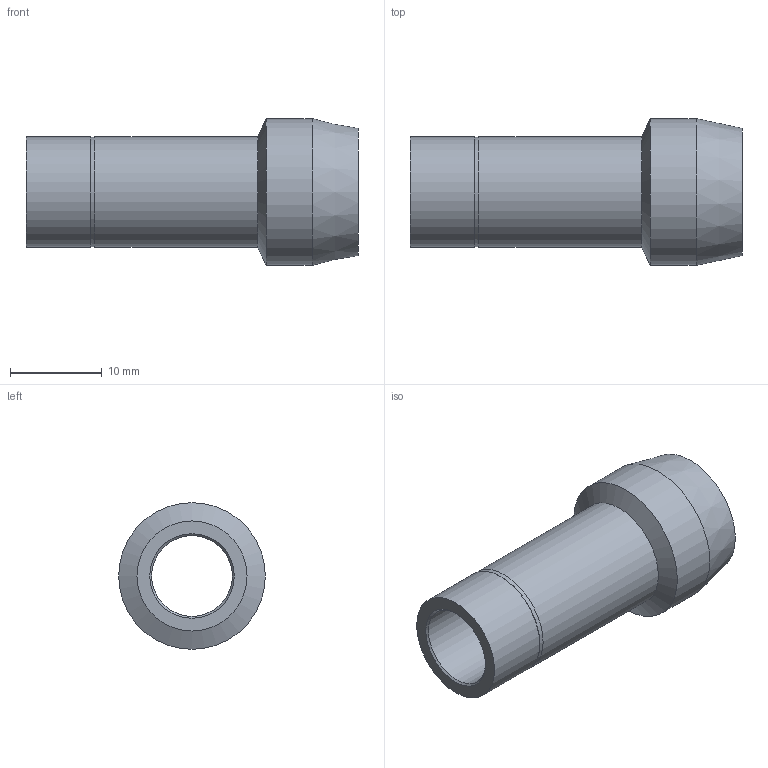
import cadquery as cq
import math

total_length = 36.2
tube_diameter = 12.0
collar_diameter = 16.0
bore_diameter = 8.8
bore_chamfer = 0.2

groove_start = 7.0
groove_width = 0.5
groove_taper_angle = 5.0

band_length = 5.0
nose_length = 5.0
shoulder_angle = 25.0
nose_angle = 12.0

tube_radius = tube_diameter / 2
collar_radius = collar_diameter / 2
bore_radius = bore_diameter / 2
nose_start = total_length - nose_length
band_start = nose_start - band_length
shoulder_length = (collar_radius - tube_radius) * math.tan(math.radians(shoulder_angle))
shoulder_start = band_start - shoulder_length
nose_end_radius = collar_radius - nose_length * math.tan(math.radians(nose_angle))
groove_depth = groove_width * math.tan(math.radians(groove_taper_angle))
x_axis_start = (0, 0)
x_axis_end = (1, 0)


def revolve_about_x(profile_points):
    """Turn a closed (x, radius) profile about the X axis."""
    profile = cq.Workplane("XY").polyline(profile_points).close()
    return profile.revolve(360, x_axis_start, x_axis_end)


def make_body():
    """Tube with the collar, including the through bore and its entry chamfer."""
    return revolve_about_x([
        (0, bore_radius + bore_chamfer),
        (0, tube_radius),
        (shoulder_start, tube_radius),
        (band_start, collar_radius),
        (nose_start, collar_radius),
        (total_length, nose_end_radius),
        (total_length, bore_radius),
        (bore_chamfer, bore_radius),
    ])


def make_groove_cutter():
    """Ring cutting a saw-tooth groove: a square wall, then a floor tapering back to the tube surface."""
    groove_end = groove_start + groove_width
    return revolve_about_x([
        (groove_start, tube_radius - groove_depth),
        (groove_start, collar_radius),
        (groove_end, collar_radius),
        (groove_end, tube_radius),
    ])


result = make_body().cut(make_groove_cutter())